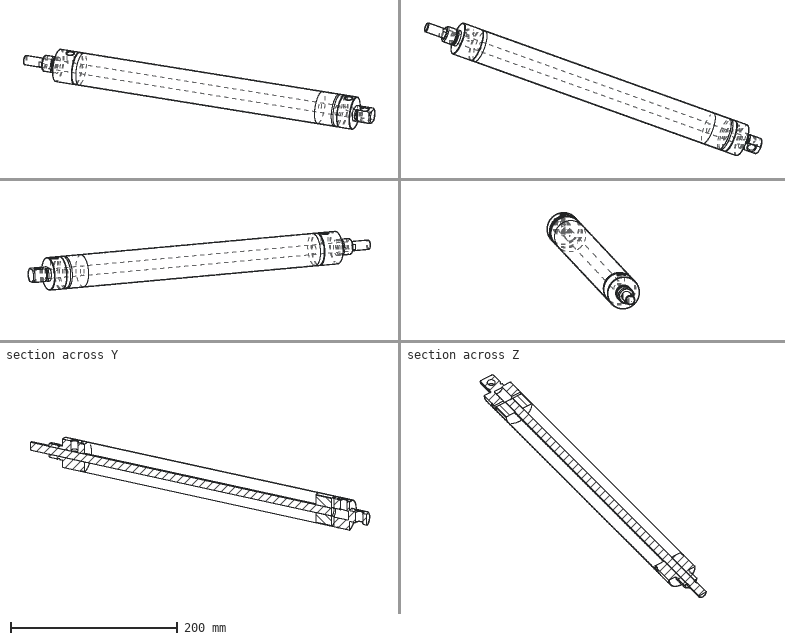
import cadquery as cq

TOTAL_LENGTH = 444.5
ROD_TIP = -TOTAL_LENGTH / 2
EYE_END = TOTAL_LENGTH / 2
HEAD_FACE = -180.0
TUBE_START = -155.0
TUBE_END = 183.0
CAP_FACE = 199.5

BARREL_DIAMETER = 39.5
TUBE_WALL = 0.65
TUBE_BORE = BARREL_DIAMETER - 2 * TUBE_WALL
SPIGOT_LENGTH = 5.0
BARREL_CHAMFER = 0.65

ROD_DIAMETER = 11.5
ROD_CHAMFER = 1.0
WRENCH_FLAT_START = ROD_TIP + 20.0
WRENCH_FLAT_WIDTH = 10.0
PISTON_LENGTH = 21.5
PISTON_GAP = 2.2
PISTON_END = TUBE_END - SPIGOT_LENGTH - PISTON_GAP
PISTON_START = PISTON_END - PISTON_LENGTH

NOSE_DIAMETER = 19.5
NOSE_CHAMFER = 1.5
NOSE_TIP = ROD_TIP + 24.5
NOSE_GROOVE_START = ROD_TIP + 36.0
EYE_GROOVE_START = 202.5
GROOVE_DEPTH = 1.1
GROOVE_WIDTH = 3.35
EYE_THICKNESS = 15.5

PIVOT_DIAMETER = 9.0
PIVOT_POSITION = 212.0
HOLE_CHAMFER = 1.1

PORT_DIAMETER = 8.5
PORT_MOUTH_DIAMETER = 10.2
PORT_MOUTH_DEPTH = 1.5
HEAD_PORT_POSITION = -164.0
HEAD_PORT_FLOOR = 7.0
HEAD_PORT_TIP_HEIGHT = 3.0
CAP_PORT_POSITION = 191.5
CAP_BORE = 11.5
CAP_BORE_END = CAP_PORT_POSITION + CAP_BORE / 2


def cylinder(start, end, diameter):
    """Solid cylinder along X between two stations."""
    return cq.Workplane("YZ", origin=(start, 0, 0)).circle(diameter / 2).extrude(end - start)


def end_plug(start, end):
    """Full-diameter end disc of the barrel with both rims chamfered."""
    return cylinder(start, end, BARREL_DIAMETER).edges().chamfer(BARREL_CHAMFER)


def nose_groove(start):
    """Ring that cuts a groove with sloping sides around the nose diameter."""
    outer = NOSE_DIAMETER / 2
    floor = outer - GROOVE_DEPTH
    end = start + GROOVE_WIDTH
    profile = [(start, outer), (start + GROOVE_DEPTH, floor), (end - GROOVE_DEPTH, floor), (end, outer)]
    return cq.Workplane("XY").polyline(profile).close().revolve(360, (0, 0, 0), (1, 0, 0))


def port_hole(position, floor):
    """Vertical hole from the top of the barrel down to floor, with a wider mouth."""
    top = BARREL_DIAMETER / 2
    hole = cq.Workplane("XY", origin=(position, 0, floor)).circle(PORT_DIAMETER / 2).extrude(top - floor)
    mouth = (
        cq.Workplane("XY", origin=(position, 0, top - PORT_MOUTH_DEPTH))
        .circle(PORT_MOUTH_DIAMETER / 2)
        .extrude(PORT_MOUTH_DEPTH)
    )
    return hole.union(mouth)


def make_rod():
    rod = cylinder(ROD_TIP, PISTON_END, ROD_DIAMETER).faces("<X").chamfer(ROD_CHAMFER)
    flat_depth = (ROD_DIAMETER - WRENCH_FLAT_WIDTH) / 2
    flat_length = NOSE_TIP - WRENCH_FLAT_START
    for side in (-1, 1):
        middle = (WRENCH_FLAT_START + flat_length / 2, side * (WRENCH_FLAT_WIDTH + flat_depth) / 2, 0)
        rod = rod.cut(cq.Workplane("XY", origin=middle).box(flat_length, flat_depth, ROD_DIAMETER))
    return rod


def make_piston():
    rod_hole = cylinder(PISTON_START, PISTON_END, ROD_DIAMETER)
    return cylinder(PISTON_START, PISTON_END, TUBE_BORE).cut(rod_hole)


def make_head():
    spigot_end = TUBE_START + SPIGOT_LENGTH
    nose = cylinder(NOSE_TIP, HEAD_FACE, NOSE_DIAMETER).faces("<X").chamfer(NOSE_CHAMFER)
    head = end_plug(HEAD_FACE, TUBE_START).union(cylinder(TUBE_START, spigot_end, TUBE_BORE))
    head = head.union(nose.cut(nose_groove(NOSE_GROOVE_START)))
    drill_point = cq.Solid.makeCone(
        PORT_DIAMETER / 2,
        0,
        HEAD_PORT_TIP_HEIGHT,
        cq.Vector(HEAD_PORT_POSITION, 0, HEAD_PORT_FLOOR),
        cq.Vector(0, 0, -1),
    )
    head = head.cut(port_hole(HEAD_PORT_POSITION, HEAD_PORT_FLOOR)).cut(cq.Workplane(drill_point))
    return head.cut(cylinder(NOSE_TIP, spigot_end, ROD_DIAMETER))


def make_tube():
    return cylinder(TUBE_START, TUBE_END, BARREL_DIAMETER).cut(cylinder(TUBE_START, TUBE_END, TUBE_BORE))


def make_eye():
    """Grooved round neck flattened top and bottom, with a vertical pivot hole."""
    eye = cylinder(CAP_FACE, EYE_END, NOSE_DIAMETER).faces(">X").chamfer(NOSE_CHAMFER)
    eye = eye.cut(nose_groove(EYE_GROOVE_START))
    middle = ((CAP_FACE + EYE_END) / 2, 0, 0)
    slab = cq.Workplane("XY", origin=middle).box(EYE_END - CAP_FACE, NOSE_DIAMETER, EYE_THICKNESS)
    pivot = (
        cq.Workplane("XY", origin=(PIVOT_POSITION, 0, -EYE_THICKNESS / 2))
        .circle(PIVOT_DIAMETER / 2)
        .extrude(EYE_THICKNESS)
    )
    eye = eye.intersect(slab).cut(pivot)
    return eye.edges("%CIRCLE").edges(cq.selectors.RadiusNthSelector(0)).chamfer(HOLE_CHAMFER)


def make_cap():
    spigot_start = TUBE_END - SPIGOT_LENGTH
    cap = end_plug(TUBE_END, CAP_FACE).union(cylinder(spigot_start, TUBE_END, TUBE_BORE))
    cap = cap.union(make_eye())
    passage = cylinder(spigot_start, CAP_BORE_END, CAP_BORE)
    return cap.cut(port_hole(CAP_PORT_POSITION, 0)).cut(passage)


rod = make_rod()
piston = make_piston()
head = make_head()
tube = make_tube()
cap = make_cap()

result = cq.Compound.makeCompound([rod.val(), piston.val(), head.val(), tube.val(), cap.val()])